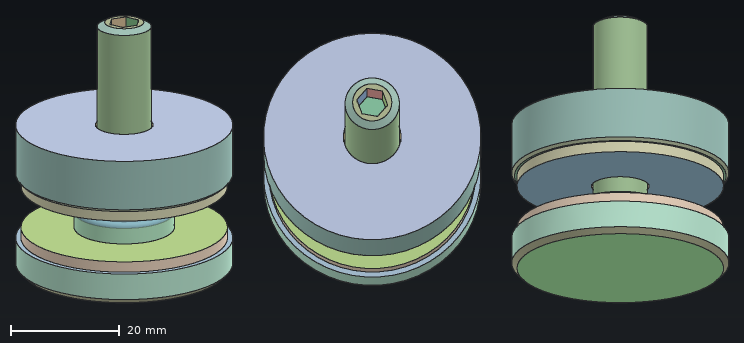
import cadquery as cq
import math

disc_diameter = 40.0
gasket_diameter = 38.0
stud_diameter = 10.0
clearance_hole_diameter = 10.55

base_height = 6.0
gasket_thickness = 2.0
collar_height = 4.0
collar_to_upper_gasket = 4.0
upper_disc_height = 10.0
overall_height = 48.0

lower_gasket_top = base_height + gasket_thickness
upper_gasket_bottom = lower_gasket_top + collar_height + collar_to_upper_gasket
upper_disc_bottom = upper_gasket_bottom + gasket_thickness

base_chamfer = 1.0
upper_disc_chamfer = 0.55
collar_diameter = 18.5
collar_fillet = 0.95
stud_flat_diameter = 7.2
stud_chamfer_angle = 30.0
hex_across_flats = 5.0
hex_depth = 5.0
hex_turn = -2.0


def cylinder(diameter, height, bottom):
    """Upright cylinder centred on the Z axis."""
    return cq.Workplane("XY").workplane(offset=bottom).circle(diameter / 2).extrude(height)


def make_base():
    """Solid base disc with a chamfered underside."""
    return cylinder(disc_diameter, base_height, 0).faces("<Z").chamfer(base_chamfer)


def make_lower_gasket():
    """Gasket with a rounded collar, fitting closely around the stud."""
    collar = cylinder(collar_diameter, collar_height, lower_gasket_top)
    collar = collar.faces(">Z").edges().fillet(collar_fillet)
    gasket = cylinder(gasket_diameter, gasket_thickness, base_height).union(collar)
    stud_hole = cylinder(stud_diameter, gasket_thickness + collar_height, base_height)
    return gasket.cut(stud_hole)


def make_stud():
    """Stud standing on the base, with a conical tip and a hexagon socket."""
    stud = cylinder(stud_diameter, overall_height - base_height, base_height)
    chamfer_width = (stud_diameter - stud_flat_diameter) / 2
    chamfer_drop = chamfer_width * math.tan(math.radians(stud_chamfer_angle))
    tip_cut = (
        cq.Workplane("XZ")
        .moveTo(stud_flat_diameter / 2, overall_height)
        .lineTo(stud_diameter / 2, overall_height)
        .lineTo(stud_diameter / 2, overall_height - chamfer_drop)
        .close()
        .revolve(360, (0, 0, 0), (0, 1, 0))
    )
    hex_across_corners = hex_across_flats / math.cos(math.radians(30))
    socket = (
        cq.Workplane("XY")
        .workplane(offset=overall_height - hex_depth)
        .polygon(6, hex_across_corners)
        .extrude(hex_depth)
        .rotate((0, 0, 0), (0, 0, 1), hex_turn)
    )
    return stud.cut(tip_cut).cut(socket)


def make_upper_gasket():
    """Flat gasket ring under the upper disc."""
    gasket = cylinder(gasket_diameter, gasket_thickness, upper_gasket_bottom)
    hole = cylinder(clearance_hole_diameter, gasket_thickness, upper_gasket_bottom)
    return gasket.cut(hole)


def make_upper_disc():
    """Thick disc with a chamfered lower rim and a clearance hole for the stud."""
    disc = cylinder(disc_diameter, upper_disc_height, upper_disc_bottom)
    disc = disc.faces("<Z").chamfer(upper_disc_chamfer)
    return disc.cut(cylinder(clearance_hole_diameter, upper_disc_height, upper_disc_bottom))


base = make_base()
lower_gasket = make_lower_gasket()
stud = make_stud()
upper_gasket = make_upper_gasket()
upper_disc = make_upper_disc()

result = cq.Compound.makeCompound(
    [base.val(), lower_gasket.val(), stud.val(), upper_gasket.val(), upper_disc.val()]
)